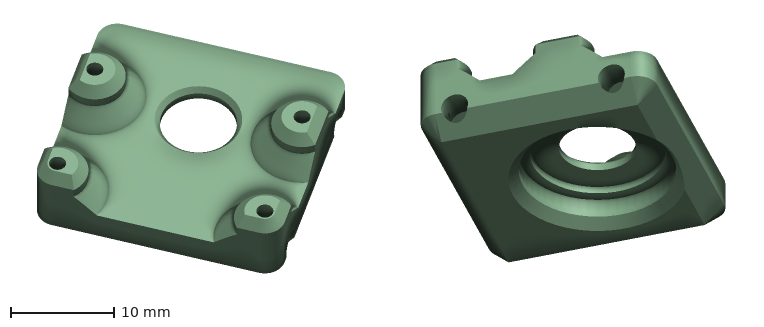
import cadquery as cq

length = 25
width = 24
height = 9
plate_height = 5
corner_radius = 2
bottom_chamfer = corner_radius
top_chamfer = 1

opening_diameter = 7.5
opening_chamfer = 0.5
opening_x = length / 2
opening_y = 14.5

seat_diameter = 15.3
seat_depth = 3
seat_mouth_chamfer = 1
relief_diameter = 13.1
recess_depth = 3.75

boss_base_radius = 5
boss_neck_radius = 3
neck_bottom = plate_height + boss_base_radius - boss_neck_radius
neck_top = height - top_chamfer
boss_x_positions = (corner_radius, length - corner_radius)
boss_y_positions = (corner_radius, opening_y)
boss_hole_diameter = 1.65
boss_hole_depth = 6

side_hole_diameter = 2.75
side_hole_depth = 3
side_hole_inset = 4
side_hole_z = 2.5


def prism_section(plane, span):
    """Start a trapezoid that widens by the bottom chamfer on each side."""
    return (
        cq.Workplane(plane)
        .moveTo(bottom_chamfer, 0)
        .lineTo(span - bottom_chamfer, 0)
        .lineTo(span, bottom_chamfer)
        .lineTo(0, bottom_chamfer)
        .close()
    )


def make_envelope():
    """Rounded block, chamfered on top, whose bottom corners are cones ending in points."""
    block = (
        cq.Workplane("XY", origin=(length / 2, width / 2, bottom_chamfer))
        .rect(length, width)
        .extrude(height - bottom_chamfer)
        .edges("|Z")
        .fillet(corner_radius)
        .faces(">Z")
        .chamfer(top_chamfer)
    )
    along_y = prism_section("XZ", length).extrude(-(width - 2 * corner_radius))
    along_x = prism_section("YZ", width).extrude(length - 2 * corner_radius)
    block = block.union(along_y.translate((0, corner_radius, 0)))
    block = block.union(along_x.translate((corner_radius, 0, 0)))
    for x in (corner_radius, length - corner_radius):
        for y in (corner_radius, width - corner_radius):
            cone = cq.Solid.makeCone(0, corner_radius, bottom_chamfer, pnt=cq.Vector(x, y, 0))
            block = block.union(cq.Workplane(cone))
    return block.clean()


def make_boss(x, y):
    """Wide cone, cylindrical neck and chamfered tip, revolved about the boss axis."""
    return (
        cq.Workplane("XZ")
        .moveTo(0, 0)
        .lineTo(boss_base_radius, 0)
        .lineTo(boss_base_radius, plate_height)
        .lineTo(boss_neck_radius, neck_bottom)
        .lineTo(boss_neck_radius, neck_top)
        .lineTo(boss_neck_radius - top_chamfer, height)
        .lineTo(0, height)
        .close()
        .revolve(360, (0, 0, 0), (0, 1, 0))
        .translate((x, y, 0))
    )


boss_centers = [(x, y) for x in boss_x_positions for y in boss_y_positions]

raised_plate = cq.Workplane("XY").box(length, width, plate_height, centered=False)
for x, y in boss_centers:
    raised_plate = raised_plate.union(make_boss(x, y))
result = make_envelope().intersect(raised_plate)

opening_radius = opening_diameter / 2
opening = (
    cq.Workplane("XY", origin=(opening_x, opening_y, 0))
    .circle(opening_radius)
    .extrude(plate_height)
)
rim = cq.Solid.makeCone(
    opening_radius,
    opening_radius + opening_chamfer,
    opening_chamfer,
    pnt=cq.Vector(opening_x, opening_y, plate_height - opening_chamfer),
)
result = result.cut(opening).cut(cq.Workplane(rim))

seat_radius = seat_diameter / 2
recess_start = cq.Workplane("XY", origin=(opening_x, opening_y, 0))
seat = recess_start.circle(seat_radius).extrude(seat_depth)
relief = recess_start.circle(relief_diameter / 2).extrude(recess_depth)
mouth = cq.Solid.makeCone(
    seat_radius + seat_mouth_chamfer,
    seat_radius,
    seat_mouth_chamfer,
    pnt=cq.Vector(opening_x, opening_y, 0),
)
result = result.cut(seat).cut(relief).cut(cq.Workplane(mouth))

boss_holes = (
    cq.Workplane("XY", origin=(0, 0, height))
    .pushPoints(boss_centers)
    .circle(boss_hole_diameter / 2)
    .extrude(-boss_hole_depth)
)
result = result.cut(boss_holes)

for y in (side_hole_inset, width - side_hole_inset):
    for x, direction in ((0, 1), (length, -1)):
        side_hole = (
            cq.Workplane("YZ", origin=(x, y, side_hole_z))
            .circle(side_hole_diameter / 2)
            .extrude(direction * side_hole_depth)
        )
        result = result.cut(side_hole)